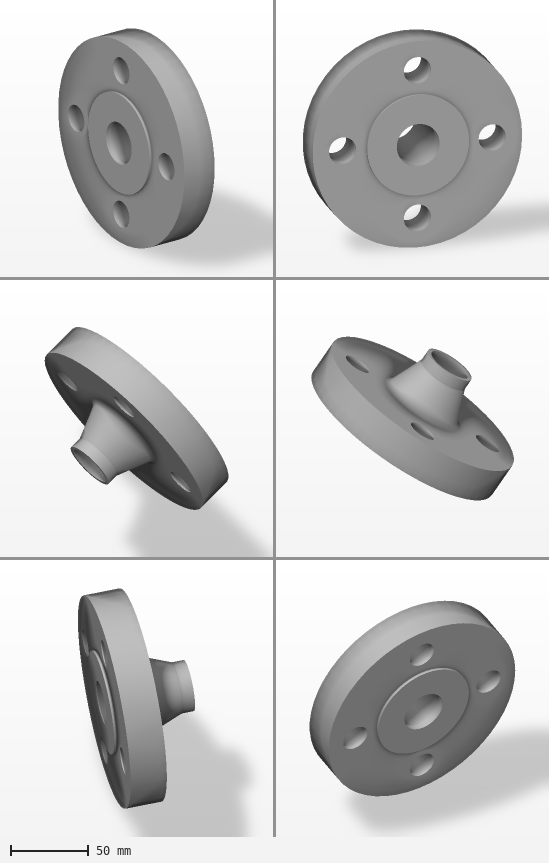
import cadquery as cq

flange_diameter = 140.0
flange_thickness = 24.0
raised_face_diameter = 68.0
raised_face_height = 2.0
bore_diameter = 28.5

total_length = 58.0
neck_diameter = 33.6
neck_length = 8.0
hub_base_diameter = 52.6
hub_fillet_radius = 4.5

bolt_hole_diameter = 18.0
bolt_circle_diameter = 100.0
bolt_count = 4

flange_front = raised_face_height
flange_back = flange_front + flange_thickness
neck_start = total_length - neck_length


def make_body():
    """Revolve the solid half section, with radius along X, about the Y axis."""
    body = (
        cq.Workplane("XY")
        .lineTo(raised_face_diameter / 2, 0)
        .lineTo(raised_face_diameter / 2, flange_front)
        .lineTo(flange_diameter / 2, flange_front)
        .lineTo(flange_diameter / 2, flange_back)
        .lineTo(hub_base_diameter / 2, flange_back)
        .lineTo(neck_diameter / 2, neck_start)
        .lineTo(neck_diameter / 2, total_length)
        .lineTo(0, total_length)
        .close()
        .revolve(360, (0, 0, 0), (0, 1, 0))
    )
    hub_foot = cq.selectors.RadiusNthSelector(1)
    return body.edges(hub_foot).fillet(hub_fillet_radius)


def make_holes():
    """Cutters for the bore and the bolt holes, all passing through along Y."""
    face_plane = cq.Workplane("XZ")
    bore = face_plane.circle(bore_diameter / 2).extrude(-total_length)
    bolt_holes = (
        face_plane.polarArray(bolt_circle_diameter / 2, 0, 360, bolt_count)
        .circle(bolt_hole_diameter / 2)
        .extrude(-flange_back)
    )
    return bore.union(bolt_holes)


result = make_body().cut(make_holes())